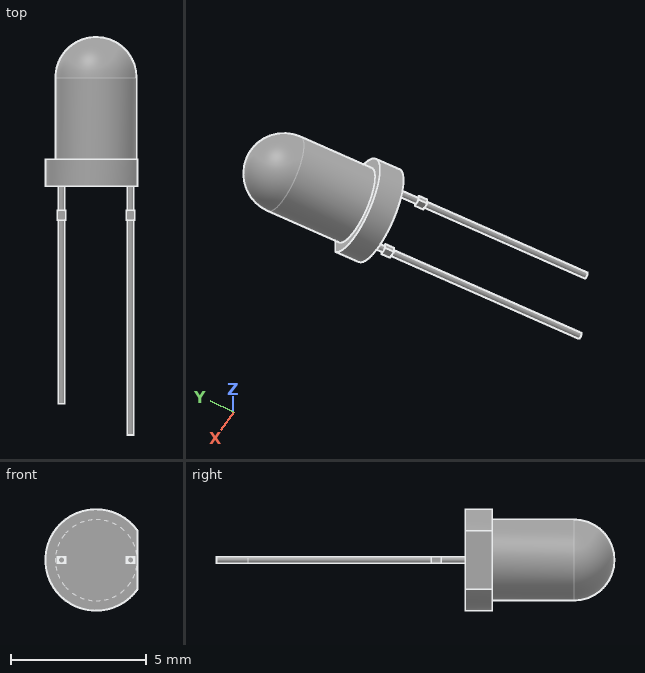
import cadquery as cq

lens_radius = 1.5
lens_straight_length = 3.0

flange_radius = 1.87
flange_thickness = 1.0
flange_flat_x = 1.53

lead_pitch = 2.54
lead_diameter = 0.25
short_lead_length = 8.0
long_lead_length = 9.15

stop_width = 0.32
stop_height = lead_diameter
stop_length = 0.36
stop_distance = 0.88


def make_lens():
    """Half profile revolved about the Y axis, standing on the flange."""
    dome_start_y = flange_thickness + lens_straight_length
    return (
        cq.Workplane("XY")
        .moveTo(0, flange_thickness)
        .lineTo(-lens_radius, flange_thickness)
        .lineTo(-lens_radius, dome_start_y)
        .radiusArc((0, dome_start_y + lens_radius), lens_radius)
        .close()
        .revolve(360, (0, 0), (0, 1))
    )


def make_flange():
    """Disc extruded toward +Y and trimmed by a flat on its +X side."""
    disc = cq.Workplane("XZ").circle(flange_radius).extrude(-flange_thickness)
    flange_diameter = 2 * flange_radius
    beyond_flat = cq.Workplane("XY").box(
        flange_radius, flange_thickness, flange_diameter, centered=(False, False, True)
    )
    return disc.cut(beyond_flat.translate((flange_flat_x, 0, 0)))


def make_lead(lead_x, length):
    """Round wire with its stop block, running toward -Y."""
    wire = cq.Workplane("XZ").center(lead_x, 0).circle(lead_diameter / 2).extrude(length)
    stop = (
        cq.Workplane("XZ", origin=(lead_x, -stop_distance, 0))
        .rect(stop_width, stop_height)
        .extrude(stop_length)
    )
    return wire.union(stop)


lens = make_lens()
flange = make_flange()
leads = [
    make_lead(lead_x, length)
    for lead_x, length in (
        (-lead_pitch / 2, short_lead_length),
        (lead_pitch / 2, long_lead_length),
    )
]

result = cq.Compound.makeCompound([lens.val(), flange.val(), *[lead.val() for lead in leads]])